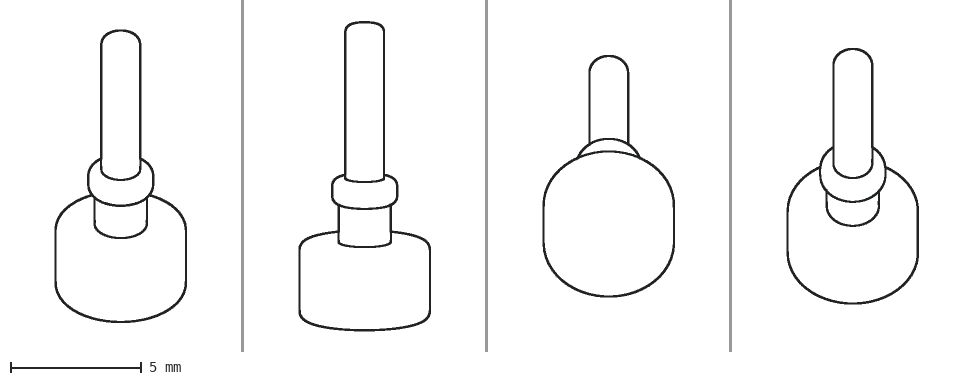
import cadquery as cq

total_height = 11.5
head_diameter = 5.0
neck_diameter = 2.0
collar_diameter = 2.5
pin_diameter = 1.5

head_height = 3.0
neck_height = 1.5
collar_height = 1.0
pin_height = total_height - head_height - neck_height - collar_height

edge_radius = 0.3


def cylinder(diameter, height, base_z):
    """Vertical cylinder standing on the given level."""
    return cq.Workplane("XY").workplane(offset=base_z).circle(diameter / 2).extrude(height)


neck_base = head_height
collar_base = neck_base + neck_height
pin_base = collar_base + collar_height

head = cylinder(head_diameter, head_height, 0).edges("%CIRCLE").fillet(edge_radius)
neck = cylinder(neck_diameter, neck_height, neck_base)
collar = cylinder(collar_diameter, collar_height, collar_base).edges("%CIRCLE").fillet(edge_radius)
pin = cylinder(pin_diameter, pin_height, pin_base).faces(">Z").edges().fillet(edge_radius)

result = head.union(neck).union(collar).union(pin)